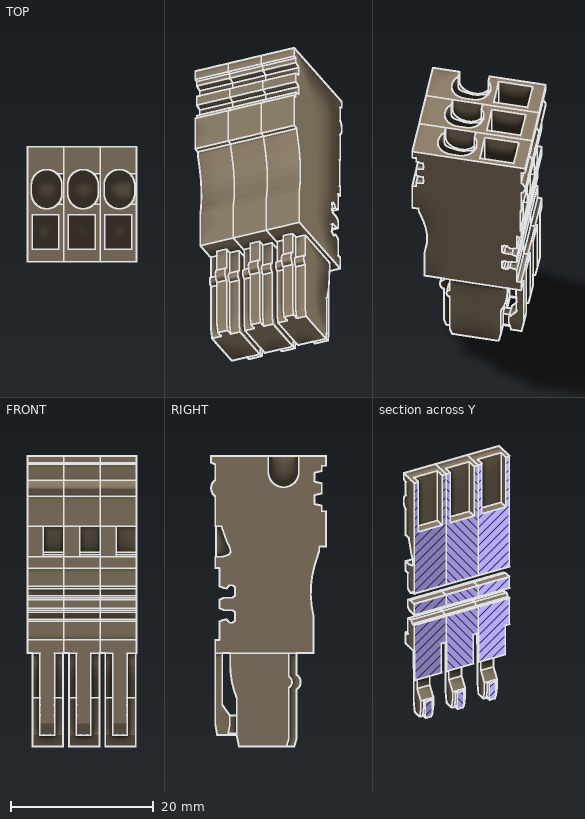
import cadquery as cq


MODULE_COUNT = 3
MODULE_WIDTH = 5.1

HEIGHT = 40.75
DEPTH = 16.15
HOUSING_BOTTOM = 13.12
FRONT_WALL = 0.57
GRIP_FACE = 1.2
REAR_WALL = 15.55
REAR_FOOT = 14.4

FRONT_LIP_BOTTOM = 39.8
FRONT_LIP_DROP = 0.25
BUMP_TOP = 37.35
BUMP_BOTTOM = 35.1
WINDOW_TOP = 30.9
WINDOW_BOTTOM = 26.6
WINDOW_LEFT = 2.25
WINDOW_ROOF_FRONT = 1.45
WINDOW_BACK_TOP = (2.3, 28.6)
WINDOW_BACK_MIDDLE = (2.6, 27.95)
WINDOW_BACK_BOTTOM = (2.77, 27.25)
WINDOW_RAMP_BREAK = (2.5, 26.9)
WINDOW_SILL = 1.6
PANEL_RECESS = 0.12
GRIP_TOP = 25.02
GRIP_BOTTOM = 14.95
GROOVE_MIRROR = 20.0
GROOVE_FLOOR = 3.35
GROOVE_CORNER = 0.25
GROOVE_CORNER_DEPTH = 3.0
GROOVE_LIP_DEPTH = 1.87
GROOVE_LOBE_TIP_DEPTH = 2.2
GROOVE_LOBE_REAR = 2.6
GROOVE_NEAR_SIDE = 0.9
GROOVE_FAR_SIDE = 2.6
GROOVE_LIP = 2.2
GROOVE_LOBE_TIP = 2.15
GROOVE_MOUTH_NEAR = 0.6
GROOVE_MOUTH_FAR = 2.45

REAR_LIP_BOTTOM = 39.35
REAR_GROOVE_FLOOR = 14.55
REAR_GROOVE_MIDS = (37.78, 34.65)
REAR_GROOVE_FLOOR_HALF = 0.6
REAR_GROOVE_MOUTH_HALF = 0.85
REAR_PAD_TOP = 33.0
REAR_PAD_BOTTOM = 28.05
SHOULDER_REAR = 15.2
SHOULDER_BOTTOM = 27.45
WAIST_TOP = (14.55, 25.43)
WAIST_MIDDLE = (14.0, 22.0)
WAIST_BOTTOM = (REAR_FOOT, 18.35)

OPENING_DEPTH = 8.15
WIRE_HOLE_X = 2.7
WIRE_HOLE_Y = 10.2
WIRE_HOLE_WIDTH = 4.28
WIRE_HOLE_LENGTH = 5.5
NOTCH_CENTRE_Z = 38.5
TOOL_HOLE_LEFT = 0.65
TOOL_HOLE_FRONT = 1.75
TOOL_HOLE_WIDTH = 3.75
TOOL_HOLE_LENGTH = 4.85

PLUG_LEFT = 0.7
PLUG_WIDTH = 4.3
PLUG_MIDDLE = PLUG_LEFT + PLUG_WIDTH / 2
PLUG_FRONT_TOP = 2.7
PLUG_FRONT = 3.6
PLUG_REAR = 10.92
PLUG_CURVE_TOP = 11.4
PLUG_CURVE_BOTTOM = 6.85
TIP_CHAMFER = 0.33
TIP_FRONT_HEIGHT = 1.65
TIP_REAR_HEIGHT = 1.15
DETENT_Z = 9.05
DETENT_HALF = 0.77
DETENT_RISE = 0.45

RIB_REAR = 12.02
RIB_WIDTH = 1.45
RIB_DETENT_HALF = 1.0
RIB_DETENT_RISE = 0.57

ARM_MIDDLE = 2.77
ARM_WIDTH = 2.05
ARM_REAR = 1.6
ARM_TIP = TIP_FRONT_HEIGHT
ARM_TIP_FRONT = 0.85
ARM_TIP_REAR = 2.35
ARM_TAPER_START = 3.25
HOOK_REAR = 2.65
HOOK_START = 5.85
HOOK_TOP = 4.4
HOOK_BOTTOM = 3.05
WEB_WIDTH = 1.15
WEB_FOOT_WIDTH = 0.9
WEB_FOOT_HEIGHT = 0.25


def side_profile(left=0):
    """Start an outline in a YZ plane, at a distance from the left side of a module."""
    return cq.Workplane("YZ", origin=(left, 0, 0))


def slab(left, front, bottom, width, length, height):
    """Box given by its lower front left corner and its sizes."""
    return cq.Workplane("XY").box(width, length, height, centered=False).translate((left, front, bottom))


def housing_blank():
    """Side outline of the housing, without grooves, across the full module width."""
    return (
        side_profile()
        .moveTo(0, HEIGHT)
        .lineTo(0, FRONT_LIP_BOTTOM)
        .lineTo(FRONT_WALL, FRONT_LIP_BOTTOM - FRONT_LIP_DROP)
        .lineTo(FRONT_WALL, BUMP_TOP)
        .threePointArc((0, (BUMP_TOP + BUMP_BOTTOM) / 2), (FRONT_WALL, BUMP_BOTTOM))
        .lineTo(FRONT_WALL, GRIP_TOP)
        .lineTo(GRIP_FACE, GRIP_TOP)
        .lineTo(GRIP_FACE, GRIP_BOTTOM)
        .lineTo(FRONT_WALL, GRIP_BOTTOM)
        .lineTo(FRONT_WALL, HOUSING_BOTTOM)
        .lineTo(REAR_FOOT, HOUSING_BOTTOM)
        .lineTo(*WAIST_BOTTOM)
        .threePointArc(WAIST_MIDDLE, WAIST_TOP)
        .lineTo(SHOULDER_REAR, SHOULDER_BOTTOM)
        .lineTo(SHOULDER_REAR, REAR_PAD_BOTTOM)
        .lineTo(DEPTH, REAR_PAD_BOTTOM)
        .lineTo(DEPTH, REAR_PAD_TOP)
        .lineTo(REAR_WALL, REAR_PAD_TOP)
        .lineTo(REAR_WALL, REAR_LIP_BOTTOM)
        .lineTo(DEPTH, REAR_LIP_BOTTOM)
        .lineTo(DEPTH, HEIGHT)
        .close()
        .extrude(MODULE_WIDTH)
    )


def rear_groove(middle):
    """Tapered groove across the rear face."""
    return (
        side_profile()
        .moveTo(REAR_WALL, middle + REAR_GROOVE_MOUTH_HALF)
        .lineTo(REAR_GROOVE_FLOOR, middle + REAR_GROOVE_FLOOR_HALF)
        .lineTo(REAR_GROOVE_FLOOR, middle - REAR_GROOVE_FLOOR_HALF)
        .lineTo(REAR_WALL, middle - REAR_GROOVE_MOUTH_HALF)
        .close()
        .extrude(MODULE_WIDTH)
    )


def front_groove(side):
    """Hooked groove in the front face; side is +1 for the upper one and -1 for the lower one."""

    def at(y, offset):
        return (y, GROOVE_MIRROR + side * offset)

    return (
        side_profile()
        .moveTo(*at(GRIP_FACE, GROOVE_MOUTH_FAR))
        .lineTo(*at(GROOVE_LIP_DEPTH, GROOVE_LIP))
        .lineTo(*at(GROOVE_LOBE_TIP_DEPTH, GROOVE_LOBE_TIP))
        .lineTo(*at(GROOVE_LOBE_REAR, GROOVE_FAR_SIDE))
        .lineTo(*at(GROOVE_CORNER_DEPTH, GROOVE_FAR_SIDE))
        .lineTo(*at(GROOVE_FLOOR, GROOVE_FAR_SIDE - GROOVE_CORNER))
        .lineTo(*at(GROOVE_FLOOR, GROOVE_NEAR_SIDE + GROOVE_CORNER))
        .lineTo(*at(GROOVE_CORNER_DEPTH, GROOVE_NEAR_SIDE))
        .lineTo(*at(GROOVE_LIP_DEPTH, GROOVE_NEAR_SIDE))
        .lineTo(*at(GRIP_FACE, GROOVE_MOUTH_NEAR))
        .close()
        .extrude(MODULE_WIDTH)
    )


def window():
    """Funnel-shaped window in the front face, open toward the right side."""
    return (
        side_profile(WINDOW_LEFT)
        .moveTo(FRONT_WALL, WINDOW_TOP)
        .lineTo(WINDOW_ROOF_FRONT, WINDOW_TOP)
        .lineTo(*WINDOW_BACK_TOP)
        .threePointArc(WINDOW_BACK_MIDDLE, WINDOW_BACK_BOTTOM)
        .lineTo(*WINDOW_RAMP_BREAK)
        .lineTo(WINDOW_SILL, WINDOW_BOTTOM)
        .lineTo(FRONT_WALL, WINDOW_BOTTOM)
        .close()
        .extrude(MODULE_WIDTH - WINDOW_LEFT)
    )


def window_panel_recess():
    return slab(0, FRONT_WALL, WINDOW_BOTTOM, MODULE_WIDTH, PANEL_RECESS, WINDOW_TOP - WINDOW_BOTTOM)


def wire_hole():
    """Slotted hole from the top, with a round-bottomed notch to the right side."""
    hole = (
        cq.Workplane("XY", origin=(WIRE_HOLE_X, WIRE_HOLE_Y, HEIGHT))
        .slot2D(WIRE_HOLE_LENGTH, WIRE_HOLE_WIDTH, 90)
        .extrude(-OPENING_DEPTH)
    )
    notch_radius = WIRE_HOLE_WIDTH / 2
    notch = (
        cq.Workplane("YZ", origin=(WIRE_HOLE_X, WIRE_HOLE_Y, 0))
        .moveTo(-notch_radius, HEIGHT)
        .lineTo(-notch_radius, NOTCH_CENTRE_Z)
        .threePointArc((0, NOTCH_CENTRE_Z - notch_radius), (notch_radius, NOTCH_CENTRE_Z))
        .lineTo(notch_radius, HEIGHT)
        .close()
        .extrude(MODULE_WIDTH - WIRE_HOLE_X)
    )
    return hole.union(notch)


def tool_hole():
    """Rectangular hole from the top."""
    return slab(
        TOOL_HOLE_LEFT, TOOL_HOLE_FRONT, HEIGHT - OPENING_DEPTH,
        TOOL_HOLE_WIDTH, TOOL_HOLE_LENGTH, OPENING_DEPTH,
    )


def plug_block():
    """Main block of the plug with its curved front, chamfered tip and rear detent."""
    return (
        side_profile(PLUG_LEFT)
        .moveTo(PLUG_FRONT_TOP, HOUSING_BOTTOM)
        .lineTo(PLUG_FRONT_TOP, PLUG_CURVE_TOP)
        .tangentArcPoint((PLUG_FRONT, PLUG_CURVE_BOTTOM), relative=False)
        .lineTo(PLUG_FRONT, TIP_FRONT_HEIGHT)
        .lineTo(PLUG_FRONT + TIP_CHAMFER, 0)
        .lineTo(PLUG_REAR - TIP_CHAMFER, 0)
        .lineTo(PLUG_REAR, TIP_REAR_HEIGHT)
        .lineTo(PLUG_REAR, DETENT_Z - DETENT_HALF)
        .threePointArc((PLUG_REAR + DETENT_RISE, DETENT_Z), (PLUG_REAR, DETENT_Z + DETENT_HALF))
        .lineTo(PLUG_REAR, HOUSING_BOTTOM)
        .close()
        .extrude(PLUG_WIDTH)
    )


def plug_rib():
    """Rib on the rear of the plug, with its own detent bump."""
    start = PLUG_REAR - TIP_CHAMFER
    return (
        side_profile(PLUG_MIDDLE - RIB_WIDTH / 2)
        .moveTo(start, HOUSING_BOTTOM)
        .lineTo(start, 0)
        .lineTo(RIB_REAR - TIP_CHAMFER, 0)
        .lineTo(RIB_REAR, TIP_REAR_HEIGHT)
        .lineTo(RIB_REAR, DETENT_Z - RIB_DETENT_HALF)
        .threePointArc((RIB_REAR + RIB_DETENT_RISE, DETENT_Z), (RIB_REAR, DETENT_Z + RIB_DETENT_HALF))
        .lineTo(RIB_REAR, HOUSING_BOTTOM)
        .close()
        .extrude(RIB_WIDTH)
    )


def latch_arm():
    """Arm hanging from the housing front; a web with a narrower foot joins its hook to the plug."""
    arm = (
        side_profile(ARM_MIDDLE - ARM_WIDTH / 2)
        .moveTo(FRONT_WALL, HOUSING_BOTTOM)
        .lineTo(FRONT_WALL, ARM_TAPER_START)
        .lineTo(ARM_TIP_FRONT, ARM_TIP)
        .lineTo(ARM_TIP_REAR, ARM_TIP)
        .lineTo(HOOK_REAR, HOOK_BOTTOM)
        .lineTo(HOOK_REAR, HOOK_TOP)
        .lineTo(ARM_REAR, HOOK_START)
        .lineTo(ARM_REAR, HOUSING_BOTTOM)
        .close()
        .extrude(ARM_WIDTH)
    )
    web_length = PLUG_FRONT - ARM_REAR
    web_bottom = ARM_TIP + WEB_FOOT_HEIGHT
    web = slab(
        ARM_MIDDLE - WEB_WIDTH / 2, ARM_REAR, web_bottom,
        WEB_WIDTH, web_length, HOOK_TOP - web_bottom,
    )
    foot = slab(
        ARM_MIDDLE - WEB_FOOT_WIDTH / 2, ARM_REAR, ARM_TIP,
        WEB_FOOT_WIDTH, web_length, WEB_FOOT_HEIGHT,
    )
    return arm.union(web).union(foot)


def make_module():
    """One connector module with its housing, plug and latch in a single solid."""
    module = housing_blank()
    for middle in REAR_GROOVE_MIDS:
        module = module.cut(rear_groove(middle))
    for side in (1, -1):
        module = module.cut(front_groove(side))
    module = module.cut(window()).cut(window_panel_recess())
    module = module.cut(wire_hole()).cut(tool_hole())
    return module.union(plug_block()).union(plug_rib()).union(latch_arm())


module = make_module()
modules = [module.translate((i * MODULE_WIDTH, 0, 0)).val().Solids()[0] for i in range(MODULE_COUNT)]
result = cq.Compound.makeCompound(modules)